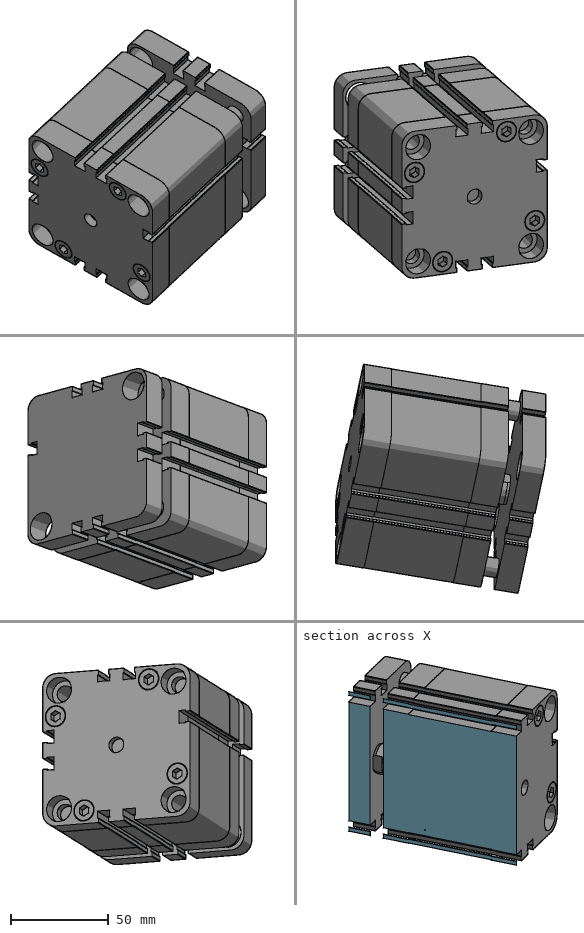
import cadquery as cq

LENGTH = 94.5
SIDE = 80.0

FRONT_COVER_END = 14.3
REAR_COVER_START = 60.9
BODY_END = 75.1
PLATE_START = 82.3

COVER_CORNER = 7.2
BARREL_INSET = 0.2
BARREL_CORNER = 6.7

SLOT_MOUTH = 5.6
SLOT_WIDTH = 6.7
SLOT_DEPTH = 6.05
SLOT_LIP = 2.5
SLOT_EDGE = 0.3
SLOT_OFFSET = 7.0
SINGLE_SLOT_OFFSET = 12.1

CORNER_OFFSET = 31.1
COUNTERBORE_DIAMETER = 13.5
COUNTERBORE_DEPTH = 9.0
MOUNT_HOLE_DIAMETER = 8.4
PLATE_HOLE_DIAMETER = 14.6
GUIDE_ROD_DIAMETER = 10.0
GUIDE_ROD_OFFSET = 30.0

PORT_DIAMETER = 8.0
PORT_DEPTH = 4.5

SCREW_NEAR = 17.6
SCREW_FAR = 33.1
SCREW_POCKET_DIAMETER = 11.1
SCREW_HEAD_DIAMETER = 10.5
SCREW_HEAD_HEIGHT = 6.05
HEX_CORNERS = 5.8
HEX_DEPTH = 5.0

PISTON_DIAMETER = 16.0
PISTON_CHAMFER = 0.5
PISTON_CHAMFER_LENGTH = 1.4
FLAT_WIDTH = 13.0
FLAT_LENGTH = 5.0

GUIDE_CORNERS = [(CORNER_OFFSET, CORNER_OFFSET), (-CORNER_OFFSET, -CORNER_OFFSET)]
GUIDE_ROD_CENTRES = [(GUIDE_ROD_OFFSET, GUIDE_ROD_OFFSET), (-GUIDE_ROD_OFFSET, -GUIDE_ROD_OFFSET)]
MOUNT_CORNERS = [(-CORNER_OFFSET, CORNER_OFFSET), (CORNER_OFFSET, -CORNER_OFFSET)]
SCREW_CENTRES = [
    (SCREW_NEAR, SCREW_FAR),
    (-SCREW_FAR, SCREW_NEAR),
    (-SCREW_NEAR, -SCREW_FAR),
    (SCREW_FAR, -SCREW_NEAR),
]


def section_at(y):
    """Workplane across the axis at station y; it extrudes towards +Y, with local axes -X and Z."""
    return cq.Workplane("XZ", origin=(0, y, 0)).transformed(rotate=(0, 180, 0))


def cylinders(centres, diameter, start, end):
    """Cylinders along Y at the given (x, z) centres."""
    points = [(-x, z) for x, z in centres]
    return section_at(start).pushPoints(points).circle(diameter / 2).extrude(end - start)


def slot(offset, turn, start, end, half):
    """T-slot cutter along Y, sunk from a top face at height half, then turned about the Y axis."""
    mouth = SLOT_MOUTH / 2
    wide = SLOT_WIDTH / 2
    lip = half - SLOT_LIP
    floor = half - SLOT_DEPTH
    right_side = [
        (mouth + SLOT_EDGE, half),
        (mouth, half - SLOT_EDGE),
        (mouth, lip),
        (wide, lip),
        (wide, floor),
    ]
    left_side = [(-x, z) for x, z in reversed(right_side)]
    profile = section_at(start).center(-offset, 0).polyline(right_side + left_side).close()
    return profile.extrude(end - start).rotate((0, 0, 0), (0, 1, 0), turn)


def slotted_block(start, end, side, corner):
    """Square block with slot pairs on the top, -X and bottom faces and a single slot on +X."""
    block = section_at(start).rect(side, side).extrude(end - start)
    block = block.edges("|Y").fillet(corner)
    for turn in (0, -90, 180):
        for offset in (-SLOT_OFFSET, SLOT_OFFSET):
            block = block.cut(slot(offset, turn, start, end, side / 2))
    return block.cut(slot(-SINGLE_SLOT_OFFSET, 90, start, end, side / 2))


def piston_rod():
    """Rod between body and plate, tapered at the plate, with a flat on its -X and +X sides."""
    radius = PISTON_DIAMETER / 2
    rod = (
        cq.Workplane("XY")
        .moveTo(0, REAR_COVER_START)
        .lineTo(radius, REAR_COVER_START)
        .lineTo(radius, PLATE_START - PISTON_CHAMFER_LENGTH)
        .lineTo(radius - PISTON_CHAMFER, PLATE_START)
        .lineTo(0, PLATE_START)
        .close()
        .revolve(360, (0, 0, 0), (0, 1, 0))
    )
    flat = FLAT_WIDTH / 2
    ramp_end = PLATE_START - FLAT_LENGTH
    ramp = radius - flat
    wedge = (
        cq.Workplane("XY")
        .moveTo(flat, PLATE_START)
        .lineTo(flat, ramp_end)
        .lineTo(radius, ramp_end - ramp)
        .lineTo(radius, PLATE_START)
        .close()
        .extrude(radius, both=True)
    )
    return rod.cut(wedge).cut(wedge.mirror("YZ"))


body = slotted_block(0, FRONT_COVER_END, SIDE, COVER_CORNER)
barrel_side = SIDE - 2 * BARREL_INSET
body = body.union(slotted_block(FRONT_COVER_END, REAR_COVER_START, barrel_side, BARREL_CORNER))
body = body.union(slotted_block(REAR_COVER_START, BODY_END, SIDE, COVER_CORNER))
plate = slotted_block(PLATE_START, LENGTH, SIDE, COVER_CORNER)
plate = plate.cut(cylinders(MOUNT_CORNERS, PLATE_HOLE_DIAMETER, PLATE_START, LENGTH))

body = body.cut(cylinders(GUIDE_CORNERS + MOUNT_CORNERS, COUNTERBORE_DIAMETER, 0, COUNTERBORE_DEPTH))
body = body.cut(cylinders(MOUNT_CORNERS, MOUNT_HOLE_DIAMETER, 0, BODY_END))
body = body.cut(cylinders(GUIDE_CORNERS, MOUNT_HOLE_DIAMETER, 0, FRONT_COVER_END))
body = body.cut(cylinders([(0, 0)], PORT_DIAMETER, 0, PORT_DEPTH))

body = body.cut(cylinders(SCREW_CENTRES, SCREW_POCKET_DIAMETER, 0, SCREW_HEAD_HEIGHT))
body = body.union(cylinders(SCREW_CENTRES, SCREW_HEAD_DIAMETER, 0, SCREW_HEAD_HEIGHT))
for screw_x, screw_z in SCREW_CENTRES:
    socket = section_at(0).center(-screw_x, screw_z).transformed(rotate=(0, 0, 90))
    body = body.cut(socket.polygon(6, HEX_CORNERS).extrude(HEX_DEPTH))

result = body.union(plate).union(piston_rod())
result = result.union(cylinders(GUIDE_ROD_CENTRES, GUIDE_ROD_DIAMETER, REAR_COVER_START, PLATE_START))